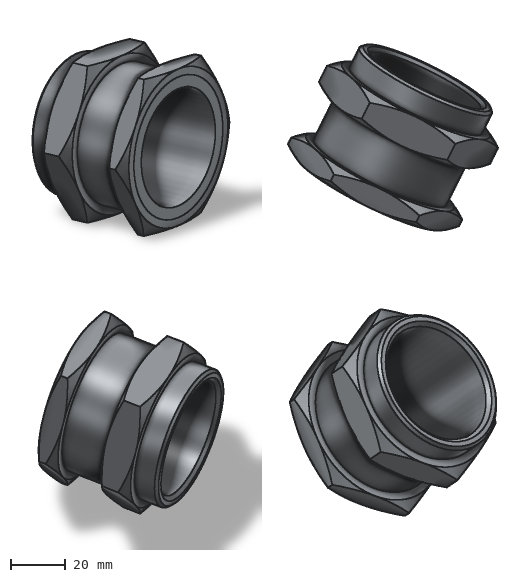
import cadquery as cq
import math

CORNER_WIDTH = 69.3
FLAT_WIDTH = CORNER_WIDTH * math.cos(math.pi / 6)
HEX_CHAMFER_ANGLE = math.radians(30)
THREAD_RADIUS = 26.95

LENGTH = 47.0
COLLAR_START = 9.3
COLLAR_THICKNESS = 12.0
BORE_RADIUS = 22.45
END_CHAMFER = 1.1
MOUTH_RADIUS = 24.0
MOUTH_DEPTH = 1.4

NUT_THICKNESS = 8.05
NUT_START = LENGTH - NUT_THICKNESS


def chamfered_hexagon(start, thickness):
    """Hexagonal prism along X, corners at +Y and -Y, both faces turned to a cone."""
    prism = (
        cq.Workplane("YZ", origin=(start, 0, 0))
        .polygon(6, CORNER_WIDTH)
        .extrude(thickness)
    )
    face_radius = FLAT_WIDTH / 2
    corner_radius = CORNER_WIDTH / 2
    cone_length = (corner_radius - face_radius) * math.tan(HEX_CHAMFER_ANGLE)
    end = start + thickness
    turned_blank = (
        cq.Workplane("XY")
        .moveTo(start, 0)
        .lineTo(start, face_radius)
        .lineTo(start + cone_length, corner_radius)
        .lineTo(end - cone_length, corner_radius)
        .lineTo(end, face_radius)
        .lineTo(end, 0)
        .close()
        .revolve(360, (0, 0, 0), (1, 0, 0))
    )
    return prism.intersect(turned_blank)


def cylinder_along_x(radius, start, length):
    return cq.Workplane("YZ", origin=(start, 0, 0)).circle(radius).extrude(length)


def make_sleeve():
    barrel = cylinder_along_x(THREAD_RADIUS, 0, LENGTH).faces("<X").chamfer(END_CHAMFER)
    collar = chamfered_hexagon(COLLAR_START, COLLAR_THICKNESS)
    bore = cylinder_along_x(BORE_RADIUS, 0, LENGTH)
    mouth = (
        cq.Workplane("YZ")
        .circle(MOUTH_RADIUS)
        .workplane(offset=MOUTH_DEPTH)
        .circle(BORE_RADIUS)
        .loft(ruled=True)
    )
    return barrel.union(collar).cut(bore).cut(mouth)


def make_locknut():
    hexagon = chamfered_hexagon(NUT_START, NUT_THICKNESS)
    return hexagon.cut(cylinder_along_x(THREAD_RADIUS, NUT_START, NUT_THICKNESS))


sleeve = make_sleeve()
locknut = make_locknut()

result = cq.Compound.makeCompound([sleeve.val(), locknut.val()])